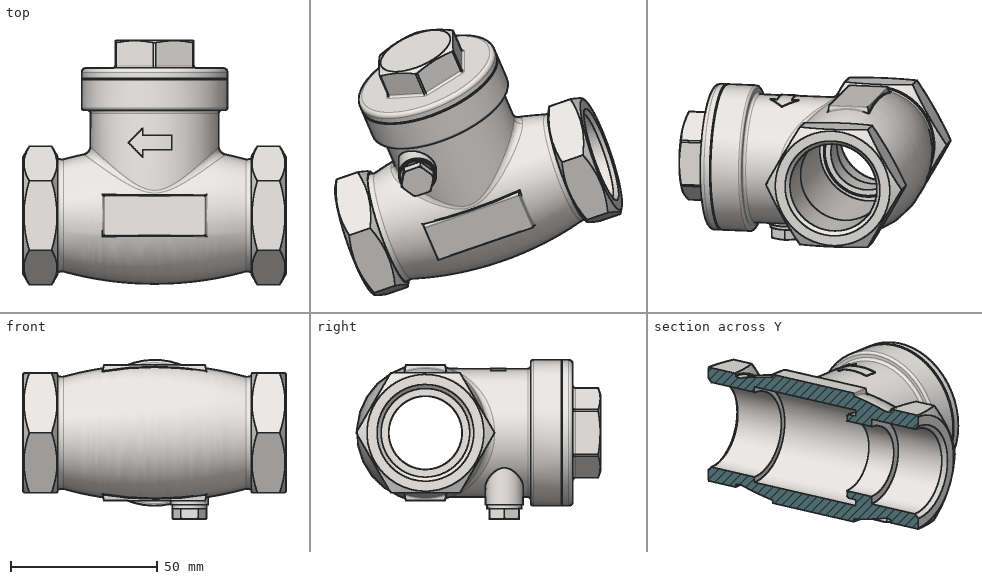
import cadquery as cq
import math

run_length = 90.0
run_half = run_length / 2

end_hex_flats = 41.0
end_hex_width = 12.0
end_face_dia = 40.0
end_chamfer_angle = 30.0

barrel_radius = 23.5
barrel_end_radius = 19.3
barrel_half = 31.1
collar_radius = 19.5
collar_curve = 3.6

bore_dia = 25.0
thread_dia = 30.3
thread_depth = 20.0
mouth_dia = 33.1
mouth_depth = 1.4
chamber_dia = 34.2
chamber_end_x = 18.0
seat_face_x = 14.4
seat_face_dia = 29.0
seat_chamfer = (thread_dia - seat_face_dia) / 2
seat_dia = thread_dia

neck_dia = 44.0
neck_fillet = 2.7
zone_margin = 0.9
cap_dia = 50.0
cap_bottom = 36.0
cap_top = 50.5
cap_top_round = 1.5
cap_bottom_round = 0.9
cap_root_fillet = 1.0
joint_y = 46.7
joint_gap = 0.4
joint_depth = 0.2
head_flats = 27.0
head_corner_dia = 30.8
head_top = 60.0
head_chamfer = 0.9
head_face_dia = 25.6
head_root = 0.8

plate_length = 35.55
plate_width = 14.3
plate_base = 20.25
plate_height = 23.2
plate_draft = 8.0
plate_round = 0.2
plate_root = 0.4

arrow_y = 24.9
arrow_tip_x = -8.9
arrow_head_x = -4.05
arrow_tail_x = 5.9
arrow_head_half = 4.95
arrow_shaft_half = 2.5
arrow_relief = 0.2

drain_x = 12.0
drain_y = 27.0
drain_boss_dia = 13.0
drain_boss_z = -24.7
washer_dia = 12.0
washer_z = -25.9
plug_flats = 10.2
plug_chamfer = 0.4
plug_bottom = -29.5


def corner_dia(flats):
    """Across-corner size of a hexagon from its across-flats size."""
    return flats / math.cos(math.radians(30))


def revolve_about_x(profile):
    return profile.close().revolve(360, (0, 0, 0), (1, 0, 0))


def revolve_about_y(profile):
    return profile.close().revolve(360, (0, 0, 0), (0, 1, 0))


def make_barrel():
    """Bulged barrel with a flared collar against each hexagon."""
    collar_x = run_half - end_hex_width
    profile = (
        cq.Workplane("XY")
        .moveTo(-collar_x, 0)
        .lineTo(-collar_x, collar_radius)
        .radiusArc((-barrel_half, barrel_end_radius), -collar_curve)
        .threePointArc((0, barrel_radius), (barrel_half, barrel_end_radius))
        .radiusArc((collar_x, collar_radius), -collar_curve)
        .lineTo(collar_x, 0)
    )
    return revolve_about_x(profile)


def make_hex_end():
    """Hexagon at the -X end with both faces chamfered."""
    corner_radius = corner_dia(end_hex_flats) / 2
    face_radius = end_face_dia / 2
    chamfer = (corner_radius - face_radius) * math.tan(math.radians(end_chamfer_angle))
    outer = -run_half
    inner = outer + end_hex_width
    prism = (
        cq.Workplane("YZ", origin=(outer, 0, 0))
        .polygon(6, 2 * corner_radius)
        .extrude(end_hex_width)
    )
    envelope = revolve_about_x(
        cq.Workplane("XY")
        .moveTo(outer, 0)
        .lineTo(outer, face_radius)
        .lineTo(outer + chamfer, corner_radius)
        .lineTo(inner - chamfer, corner_radius)
        .lineTo(inner, face_radius)
        .lineTo(inner, 0)
    )
    return prism.intersect(envelope)


def make_cap():
    """Round cap with its joint groove and the fillet under it."""
    radius = cap_dia / 2
    neck_radius = neck_dia / 2
    groove_radius = radius - joint_depth
    groove_bottom = joint_y - joint_gap / 2
    groove_top = joint_y + joint_gap / 2
    return revolve_about_y(
        cq.Workplane("XY")
        .moveTo(0, cap_bottom - cap_root_fillet)
        .lineTo(neck_radius, cap_bottom - cap_root_fillet)
        .radiusArc((neck_radius + cap_root_fillet, cap_bottom), cap_root_fillet)
        .lineTo(radius - cap_bottom_round, cap_bottom)
        .radiusArc((radius, cap_bottom + cap_bottom_round), -cap_bottom_round)
        .lineTo(radius, groove_bottom)
        .lineTo(groove_radius, groove_bottom)
        .lineTo(groove_radius, groove_top)
        .lineTo(radius, groove_top)
        .lineTo(radius, cap_top - cap_top_round)
        .radiusArc((radius - cap_top_round, cap_top), -cap_top_round)
        .lineTo(0, cap_top)
    )


def make_head():
    """Hexagon head with flats on the X sides, corners turned off and top edge chamfered."""
    radius = head_corner_dia / 2
    prism = (
        cq.Workplane("XZ", origin=(0, cap_top, 0))
        .transformed(rotate=(0, 0, 30))
        .polygon(6, corner_dia(head_flats))
        .extrude(cap_top - head_top)
    )
    envelope = revolve_about_y(
        cq.Workplane("XY")
        .moveTo(0, cap_top)
        .lineTo(radius, cap_top)
        .lineTo(radius, head_top - head_chamfer)
        .lineTo(head_face_dia / 2, head_top)
        .lineTo(0, head_top)
    )
    return prism.intersect(envelope)


def neck_cylinder(diameter):
    """Cylinder along +Y from the run axis to the underside of the cap."""
    return cq.Workplane("XZ").circle(diameter / 2).extrude(-cap_bottom)


def make_plate():
    """Upper name plate with drafted sides and a rounded top edge."""
    return (
        cq.Workplane("XY", origin=(0, 0, plate_base))
        .rect(plate_length, plate_width)
        .extrude(plate_height - plate_base, taper=plate_draft)
        .faces(">Z")
        .edges()
        .fillet(plate_round)
    )


def make_arrow():
    """Arrow following the curve of the neck, raised slightly above it."""
    outline = (
        cq.Workplane("XY")
        .polyline([
            (arrow_tip_x, arrow_y),
            (arrow_head_x, arrow_y + arrow_head_half),
            (arrow_head_x, arrow_y + arrow_shaft_half),
            (arrow_tail_x, arrow_y + arrow_shaft_half),
            (arrow_tail_x, arrow_y - arrow_shaft_half),
            (arrow_head_x, arrow_y - arrow_shaft_half),
            (arrow_head_x, arrow_y - arrow_head_half),
        ])
        .close()
        .extrude(neck_dia)
    )
    skin = neck_cylinder(neck_dia + 2 * arrow_relief)
    return outline.intersect(skin)


def make_drain():
    """Boss, washer and hexagon plug stacked downwards."""
    axis = cq.Workplane("XY", origin=(drain_x, drain_y, 0))
    boss = axis.circle(drain_boss_dia / 2).extrude(drain_boss_z)
    washer = axis.circle(washer_dia / 2).extrude(washer_z)
    plug_corners = corner_dia(plug_flats)
    envelope = axis.circle(plug_corners / 2).extrude(plug_bottom).faces("<Z").chamfer(plug_chamfer)
    plug = axis.polygon(6, plug_corners).extrude(plug_bottom).intersect(envelope)
    return boss.union(washer).union(plug)


def make_socket():
    """Threaded socket with a chamfered mouth at the -X end."""
    return revolve_about_x(
        cq.Workplane("XY")
        .moveTo(-run_half, 0)
        .lineTo(-run_half, mouth_dia / 2)
        .lineTo(-run_half + mouth_depth, thread_dia / 2)
        .lineTo(-run_half + thread_depth, thread_dia / 2)
        .lineTo(-run_half + thread_depth, 0)
    )


def make_chamber():
    """Wide chamber around a chamfered seat ring, and the port through the ring."""
    port_end = run_half - thread_depth
    return revolve_about_x(
        cq.Workplane("XY")
        .moveTo(-run_half + thread_depth, 0)
        .lineTo(-run_half + thread_depth, chamber_dia / 2)
        .lineTo(chamber_end_x, chamber_dia / 2)
        .lineTo(chamber_end_x, seat_dia / 2)
        .lineTo(seat_face_x + seat_chamfer, seat_dia / 2)
        .lineTo(seat_face_x, seat_face_dia / 2)
        .lineTo(seat_face_x, bore_dia / 2)
        .lineTo(port_end, bore_dia / 2)
        .lineTo(port_end, 0)
    )


body = make_barrel().union(neck_cylinder(neck_dia))
barrel_zone = cq.selectors.BoxSelector(
    (-barrel_half, zone_margin, -cap_dia),
    (barrel_half, cap_bottom - zone_margin, cap_dia),
)
body = body.edges(barrel_zone).fillet(neck_fillet)

bonnet = make_cap().union(make_head())
root_reach = head_corner_dia / 2
root_zone = cq.selectors.BoxSelector(
    (-root_reach, cap_top - head_root, -root_reach),
    (root_reach, cap_top + head_root, root_reach),
)
bonnet = bonnet.edges(root_zone).fillet(head_root)

plate = make_plate()
flush_trim = (
    cq.Workplane("XY", origin=(0, 0, plate_height))
    .rect(plate_length, plate_width)
    .extrude(barrel_radius - plate_height)
)
body = body.cut(flush_trim).cut(flush_trim.mirror("XY"))
body = body.union(plate).union(plate.mirror("XY"))

plate_top_edge = plate_height - 2 * plate_round
for low, high in ((plate_base, plate_top_edge), (-plate_top_edge, -plate_base)):
    plate_zone = cq.selectors.BoxSelector(
        (-plate_length / 2, -plate_width / 2, low), (plate_length / 2, plate_width / 2, high)
    )
    body = body.edges(plate_zone).edges("not %LINE").fillet(plate_root)

hex_end = make_hex_end()
socket = make_socket()
result = (
    body.union(hex_end)
    .union(hex_end.mirror("YZ"))
    .union(bonnet)
    .union(make_arrow())
    .union(make_drain())
    .cut(make_chamber())
    .cut(socket)
    .cut(socket.mirror("YZ"))
)